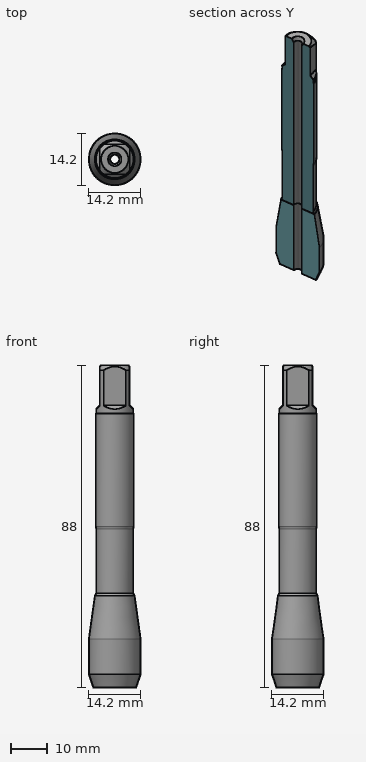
import cadquery as cq

TOTAL_LENGTH = 88.0

HEAD_DIAMETER = 14.2
HEAD_TIP_DIAMETER = 11.7
HEAD_TOP_DIAMETER = 10.9
LEAD_IN_HEIGHT = 3.6
TAPER_START_Z = 13.3
HEAD_TOP_Z = 25.0

NECK_DIAMETER = 10.1
NECK_START_Z = 25.8
NECK_END_Z = 43.3
SHANK_DIAMETER = 10.5
SHANK_START_Z = 44.1
DRIVE_DIAMETER = 10.2
DRIVE_START_Z = 74.8
SHANK_END_Z = DRIVE_START_Z - (SHANK_DIAMETER - DRIVE_DIAMETER) / 2
DRIVE_TOP_DIAMETER = 7.4
DRIVE_CHAMFER = (DRIVE_DIAMETER - DRIVE_TOP_DIAMETER) / 2

ACROSS_FLATS = 8.2
FLAT_BOTTOM_Z = 77.0
FLAT_COUNT = 4

BORE_DIAMETER = 2.5
BORE_MOUTH_DIAMETER = 3.7
BORE_MOUTH_DEPTH = 1.1


def revolve_profile(stations):
    """Turn a solid from (diameter, z) stations listed from bottom to top."""
    outline = [(diameter / 2, z) for diameter, z in stations]
    bottom_center = (0, stations[0][1])
    top_center = (0, stations[-1][1])
    return (
        cq.Workplane("XZ")
        .polyline([bottom_center, *outline, top_center])
        .close()
        .revolve(360, (0, 0), (0, 1))
    )


def make_bore():
    """Cutter for the bore that runs through both bodies."""
    return revolve_profile([
        (BORE_DIAMETER, 0),
        (BORE_DIAMETER, TOTAL_LENGTH - BORE_MOUTH_DEPTH),
        (BORE_MOUTH_DIAMETER, TOTAL_LENGTH),
    ])


def make_flat_cutter():
    """Cutter for one drive flat on the +X side, ending in a 45 degree run-out."""
    flat_x = ACROSS_FLATS / 2
    outer_x = SHANK_DIAMETER / 2
    runout = outer_x - flat_x
    return (
        cq.Workplane("XZ")
        .moveTo(flat_x, FLAT_BOTTOM_Z)
        .lineTo(outer_x, FLAT_BOTTOM_Z - runout)
        .lineTo(outer_x, TOTAL_LENGTH)
        .lineTo(flat_x, TOTAL_LENGTH)
        .close()
        .extrude(SHANK_DIAMETER / 2, both=True)
    )


def make_head():
    head = revolve_profile([
        (HEAD_TIP_DIAMETER, 0),
        (HEAD_DIAMETER, LEAD_IN_HEIGHT),
        (HEAD_DIAMETER, TAPER_START_Z),
        (HEAD_TOP_DIAMETER, HEAD_TOP_Z),
    ])
    return head.cut(make_bore())


def make_shank():
    shank = revolve_profile([
        (HEAD_TOP_DIAMETER, HEAD_TOP_Z),
        (NECK_DIAMETER, NECK_START_Z),
        (NECK_DIAMETER, NECK_END_Z),
        (SHANK_DIAMETER, SHANK_START_Z),
        (SHANK_DIAMETER, SHANK_END_Z),
        (DRIVE_DIAMETER, DRIVE_START_Z),
        (DRIVE_DIAMETER, TOTAL_LENGTH - DRIVE_CHAMFER),
        (DRIVE_TOP_DIAMETER, TOTAL_LENGTH),
    ])
    flat_cutter = make_flat_cutter()
    for index in range(FLAT_COUNT):
        angle = index * 360 / FLAT_COUNT
        shank = shank.cut(flat_cutter.rotate((0, 0, 0), (0, 0, 1), angle))
    return shank.cut(make_bore())


head = make_head()
shank = make_shank()
result = cq.Compound.makeCompound([head.val(), shank.val()])